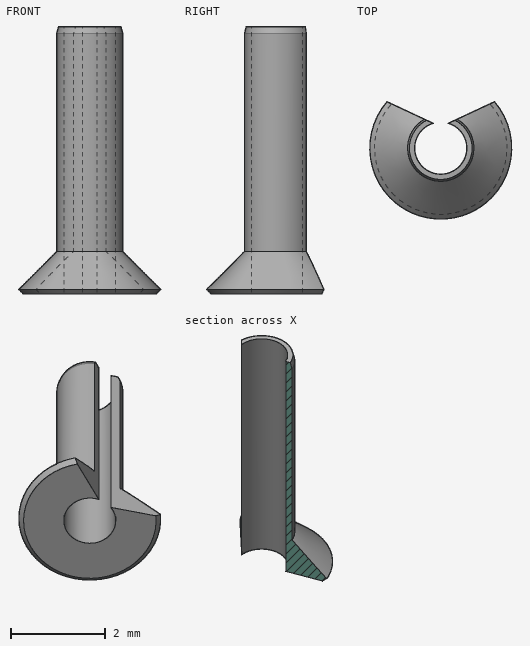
import cadquery as cq
import math

total_height = 5.65
head_radius = 1.5
tube_radius = 0.7
bore_radius = 0.55
head_edge_chamfer = 0.1
tip_chamfer_height = 0.145
tip_chamfer_angle = 15.0

opening_apex_y = 0.45
opening_face_angle = 25.0

cone_height = head_radius - tube_radius
head_height = head_edge_chamfer + cone_height
tip_radius = tube_radius - tip_chamfer_height * math.tan(math.radians(tip_chamfer_angle))


def make_flared_tube():
    """Revolve the wall section of the tube and head around Z."""
    wall_section = [
        (bore_radius, 0),
        (head_radius - head_edge_chamfer, 0),
        (head_radius, head_edge_chamfer),
        (tube_radius, head_height),
        (tube_radius, total_height - tip_chamfer_height),
        (tip_radius, total_height),
        (bore_radius, total_height),
    ]
    return cq.Workplane("XZ").polyline(wall_section).close().revolve(360, (0, 0), (0, 1))


def make_opening():
    """Triangular prism that widens from its apex toward +Y."""
    half_width = 2 * head_radius
    outer_y = opening_apex_y + half_width * math.tan(math.radians(opening_face_angle))
    triangle = [(0, opening_apex_y), (half_width, outer_y), (-half_width, outer_y)]
    return cq.Workplane("XY").polyline(triangle).close().extrude(total_height)


result = make_flared_tube().cut(make_opening())